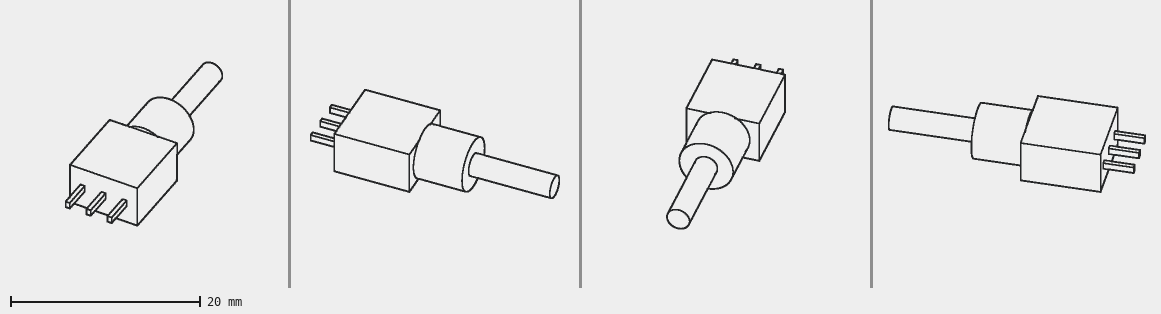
import cadquery as cq

total_length = 26.93
terminal_length = 3.29
body_length = 8.67
bushing_length = 5.6
lever_length = total_length - terminal_length - body_length - bushing_length

body_width = 8.13
body_height = 5.1
bushing_diameter = 6.0
lever_diameter = 2.53
terminal_width = 0.5
terminal_height = 0.75
terminal_pitch = 2.53
terminal_count = 3

bushing_start = body_length
lever_start = bushing_start + bushing_length


def block(width, length, height, center_x, start_y):
    """Box centred on Z = 0 that runs along +Y from start_y."""
    return cq.Workplane("XY").box(width, length, height).translate((center_x, start_y + length / 2, 0))


def rod(diameter, length, start_y):
    """Cylinder on the Y axis that runs along +Y from start_y."""
    return cq.Workplane("XZ", origin=(0, start_y, 0)).circle(diameter / 2).extrude(-length)


result = block(body_width, body_length, body_height, 0, 0)
result = result.union(rod(bushing_diameter, bushing_length, bushing_start))
result = result.union(rod(lever_diameter, lever_length, lever_start))

for index in range(terminal_count):
    terminal_x = (index - (terminal_count - 1) / 2) * terminal_pitch
    result = result.union(
        block(terminal_width, terminal_length, terminal_height, terminal_x, -terminal_length)
    )